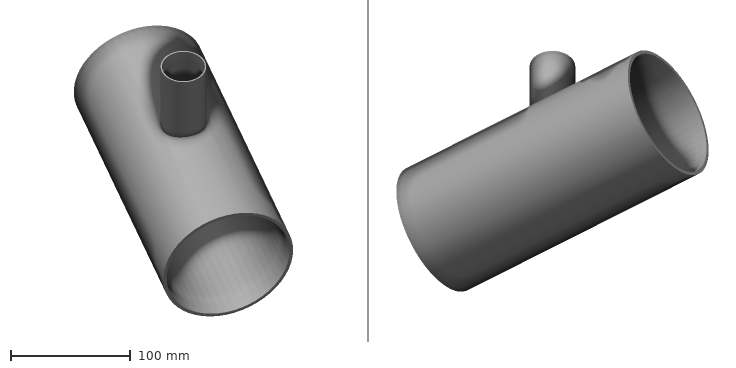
import cadquery as cq

pipe_length = 240.0
pipe_outer_diameter = 114.2
pipe_bore_diameter = 108.2

branch_outer_diameter = 38.2
branch_bore_diameter = 35.8
overall_height = 177.0
branch_top = overall_height - pipe_outer_diameter / 2


def main_cylinder(diameter):
    """Cylinder along the full length of the main pipe."""
    return cq.Workplane("YZ").circle(diameter / 2).extrude(pipe_length / 2, both=True)


def branch_cylinder(diameter):
    """Cylinder from the main pipe axis up to the top of the branch."""
    return cq.Workplane("XY").circle(diameter / 2).extrude(branch_top)


outer_body = main_cylinder(pipe_outer_diameter).union(branch_cylinder(branch_outer_diameter))
result = outer_body.cut(main_cylinder(pipe_bore_diameter)).cut(branch_cylinder(branch_bore_diameter))